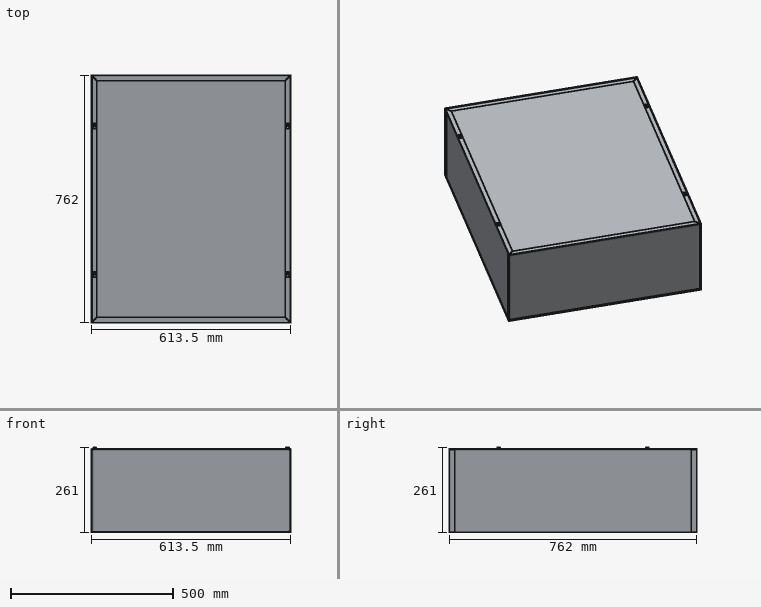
import cadquery as cq

length = 762.0
sheet = 1.9
shell_width = 613.5
inner_width = shell_width - 2 * sheet
cover_width = inner_width
cover_shift = 0.45
total_height = 261.0
head_height = 3.2
flange = 17.0
bend_radius = 2.0
bend_inner_radius = bend_radius - sheet

cover_top = total_height - head_height
shell_height = cover_top - sheet
joint_depth = sheet + bend_inner_radius

screw_x = 296.5
screw_y = 228.5
shank_diameter = 4.35
shank_length = 8.0
head_diameter = 10.0
head_top_diameter = 7.2
slot_width = 4.8
keyhole_diameter = 11.5
keyhole_offset = 7.0
ENDS = (-1, 1)
SCREW_PLACES = [(cover_shift + side * screw_x, end * screw_y) for side in (-1, 1) for end in ENDS]


def upright_cylinder(diameter, bottom, height, places):
    """Equal vertical cylinders standing at the given places."""
    return (
        cq.Workplane("XY", origin=(0, 0, bottom))
        .pushPoints(places)
        .circle(diameter / 2)
        .extrude(height)
    )


def block(width, depth, bottom, height):
    """A box centred on the Z axis."""
    return cq.Workplane("XY", origin=(0, 0, bottom)).box(width, depth, height, centered=(True, True, False))


def make_mitred_area(end):
    """Region at the top of one end that belongs to the end panel, bounded by the 45 degree corner joints."""
    outer_half = shell_width / 2
    inner_half = outer_half - flange
    outer_y = end * length / 2
    inner_y = end * (length / 2 - flange)
    corners = [(-outer_half, outer_y), (outer_half, outer_y), (inner_half, inner_y), (-inner_half, inner_y)]
    trapezoid = (
        cq.Workplane("XY", origin=(0, 0, shell_height - joint_depth))
        .polyline(corners)
        .close()
        .extrude(joint_depth)
    )
    return trapezoid.intersect(block(inner_width, length, 0, shell_height))


def make_shell():
    """Bent sheet: the bottom, both side walls and the two return flanges at the top."""
    outside = block(shell_width, length, 0, shell_height).edges("|Y").fillet(bend_radius)
    inside = block(inner_width, length, sheet, shell_height - 2 * sheet).edges("|Y").fillet(bend_inner_radius)
    opening = block(shell_width - 2 * flange, length, shell_height - joint_depth, joint_depth)
    screw_holes = upright_cylinder(shank_diameter, shell_height - shank_length, shank_length, SCREW_PLACES)
    shell = outside.cut(inside).cut(opening).cut(screw_holes)
    for end in ENDS:
        shell = shell.cut(make_mitred_area(end))
    return shell


def make_end_panel(end):
    """Tray that closes one end of the shell, with its flanges turned inward."""
    outer_face = ">Y" if end > 0 else "<Y"
    height = shell_height - sheet
    tray = block(inner_width, flange, sheet, height)
    tray = tray.edges("|Y or " + outer_face).fillet(bend_radius)
    hollow = block(inner_width - 2 * sheet, flange, 2 * sheet, height - 2 * sheet)
    hollow = hollow.edges("|Y or " + outer_face).fillet(bend_inner_radius)
    tray = tray.cut(hollow.translate((0, -end * sheet, 0)))
    tray = tray.translate((0, end * (length - flange) / 2, 0))
    joint_layer = block(inner_width, length, shell_height - joint_depth, joint_depth)
    return tray.cut(joint_layer.cut(make_mitred_area(end)))


def make_cover():
    """Flat cover plate with a keyhole at each screw."""
    plate = block(cover_width, length, shell_height, sheet).translate((cover_shift, 0, 0))
    entries = [(x, y - keyhole_offset) for x, y in SCREW_PLACES]
    slots = (
        cq.Workplane("XY", origin=(0, 0, shell_height))
        .pushPoints([(x, y - keyhole_offset / 2) for x, y in SCREW_PLACES])
        .slot2D(keyhole_offset + slot_width, slot_width, 90)
        .extrude(sheet)
    )
    return plate.cut(slots).cut(upright_cylinder(keyhole_diameter, shell_height, sheet, entries))


def make_screw(place):
    """Round-headed screw that clamps the cover to a shell flange."""
    shank = upright_cylinder(shank_diameter, cover_top - shank_length, shank_length, [place])
    head = upright_cylinder(head_diameter, cover_top, head_height, [place])
    head = head.faces(">Z").edges().fillet((head_diameter - head_top_diameter) / 2)
    return shank.union(head)


shell = make_shell()
end_panels = [make_end_panel(end) for end in ENDS]
cover = make_cover()
screws = [make_screw(place) for place in SCREW_PLACES]

result = cq.Compound.makeCompound(
    [shell.val(), cover.val()] + [body.val() for body in end_panels + screws]
)